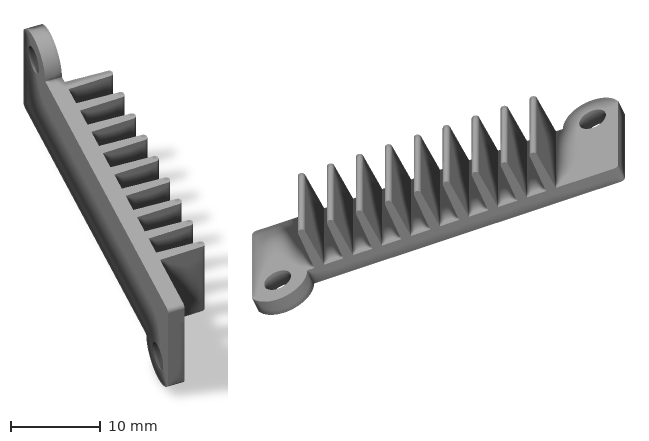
import cadquery as cq

length = 44.2
body_height = 10.5
plate_thickness = 2.0
corner_radius = 0.5

lug_radius = 3.6
lug_inset = 3.1
hole_diameter = 3.23

fin_count = 9
fin_row_length = 28.0
overall_depth = 7.5
fin_root_width = 1.2
fin_shoulder_width = 0.85
fin_tip_height = 0.35

half_length = length / 2
half_height = body_height / 2
fin_pitch = fin_row_length / (fin_count - 1)
selection_margin = 0.45
lug_x = half_length - lug_inset
lug_centers = [(-lug_x, half_height), (lug_x, -half_height)]


def along_y(profile, depth):
    """Extrude an XZ profile from the flat face towards +Y."""
    return profile.extrude(-depth)


def corner_box(x, z):
    """Selector for the plate edge that runs along Y through (x, z)."""
    return cq.selectors.BoxSelector(
        (x - selection_margin, 0, z - selection_margin),
        (x + selection_margin, plate_thickness, z + selection_margin),
    )


def make_plate():
    """Rectangular plate with lugs trimmed flush with its ends."""
    body = along_y(cq.Workplane("XZ").rect(length, body_height), plate_thickness)
    free_corners = corner_box(-half_length, -half_height) + corner_box(half_length, half_height)
    body = body.edges("|Y").edges(free_corners).fillet(corner_radius)
    lugs = along_y(cq.Workplane("XZ").pushPoints(lug_centers).circle(lug_radius), plate_thickness)
    full_height = body_height + 2 * lug_radius
    end_trim = along_y(cq.Workplane("XZ").rect(length, full_height), plate_thickness)
    return body.union(lugs.intersect(end_trim))


def make_fin(center_x):
    """Tapered fin spanning the body height, with an arched tip."""
    half_root = fin_root_width / 2
    half_shoulder = fin_shoulder_width / 2
    shoulder_y = overall_depth - fin_tip_height
    return (
        cq.Workplane("XY", origin=(center_x, 0, -half_height))
        .moveTo(-half_root, 0)
        .lineTo(half_root, 0)
        .lineTo(half_root, plate_thickness)
        .lineTo(half_shoulder, shoulder_y)
        .threePointArc((0, overall_depth), (-half_shoulder, shoulder_y))
        .lineTo(-half_root, plate_thickness)
        .close()
        .extrude(body_height)
    )


result = make_plate()
for index in range(fin_count):
    fin_x = index * fin_pitch - fin_row_length / 2
    result = result.union(make_fin(fin_x))

holes = along_y(
    cq.Workplane("XZ").pushPoints(lug_centers).circle(hole_diameter / 2), plate_thickness
)
result = result.cut(holes)